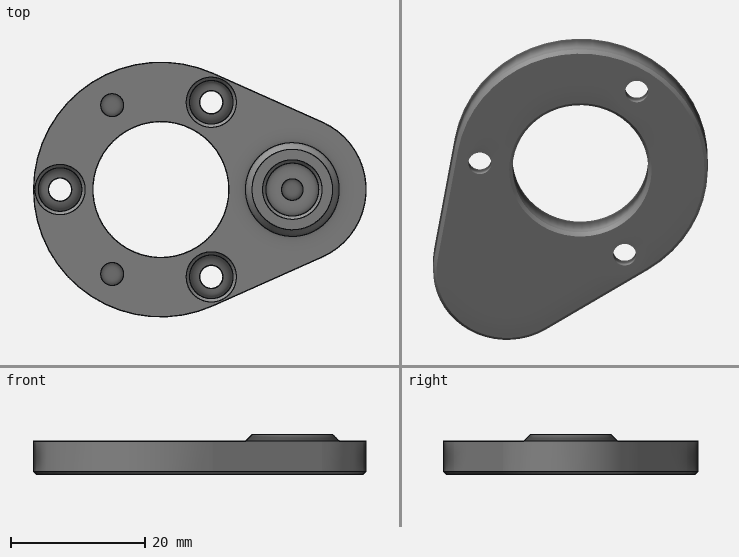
import cadquery as cq
import math

large_end_radius = 18.95
small_end_radius = 11.0
end_spacing = 49.55 - large_end_radius - small_end_radius
plate_thickness = 5.0
bottom_chamfer = 0.5
bore_diameter = 20.2

screw_circle_radius = 15.0
screw_angles = (60, 180, 300)
screw_hole_diameter = 3.4
counterbore_diameter = 6.5
counterbore_depth = 3.0
counterbore_chamfer = 0.5

dowel_circle_radius = 14.5
dowel_angles = (120, 240)
dowel_diameter = 3.4
dowel_depth = 1.0

boss_height = 1.0
boss_base_diameter = 13.95
boss_recess_diameter = 7.9
boss_recess_depth = 1.0
boss_recess_chamfer = 0.5
boss_hole_diameter = 3.2
boss_hole_depth = 2.0

boss_top = plate_thickness + boss_height


def polar_point(radius, angle):
    """Point at an angle in degrees around the bore axis."""
    a = math.radians(angle)
    return (radius * math.cos(a), radius * math.sin(a))


def make_plate():
    """Bored plate with its bottom edges chamfered, both outside and around the bore."""
    tangent_angle = math.degrees(math.acos((large_end_radius - small_end_radius) / end_spacing))
    large_x, large_y = polar_point(large_end_radius, tangent_angle)
    small_x, small_y = polar_point(small_end_radius, tangent_angle)
    small_x += end_spacing
    return (
        cq.Workplane("XY")
        .moveTo(large_x, large_y)
        .threePointArc((-large_end_radius, 0), (large_x, -large_y))
        .lineTo(small_x, -small_y)
        .threePointArc((end_spacing + small_end_radius, 0), (small_x, small_y))
        .close()
        .moveTo(0, 0)
        .circle(bore_diameter / 2)
        .extrude(plate_thickness)
        .faces("<Z")
        .chamfer(bottom_chamfer)
    )


def make_boss():
    """Boss whose side slopes inward at 45 degrees."""
    base_radius = boss_base_diameter / 2
    return cq.Workplane("XY").add(
        cq.Solid.makeCone(
            base_radius,
            base_radius - boss_height,
            boss_height,
            pnt=cq.Vector(end_spacing, 0, plate_thickness),
        )
    )


def hole_cutter(position, diameter, depth, top, chamfer=0):
    """Round cutter going down from top, with an optional 45 degree countersunk rim."""
    x, y = position
    radius = diameter / 2
    cutter = cq.Workplane("XY", origin=(x, y, top)).circle(radius).extrude(-depth)
    if chamfer:
        rim = cq.Solid.makeCone(
            radius + chamfer, radius, chamfer, pnt=cq.Vector(x, y, top), dir=cq.Vector(0, 0, -1)
        )
        cutter = cutter.union(cq.Workplane("XY").add(rim))
    return cutter


result = make_plate().union(make_boss())

for angle in screw_angles:
    position = polar_point(screw_circle_radius, angle)
    result = result.cut(hole_cutter(position, screw_hole_diameter, plate_thickness, plate_thickness))
    result = result.cut(
        hole_cutter(position, counterbore_diameter, counterbore_depth, plate_thickness, counterbore_chamfer)
    )

for angle in dowel_angles:
    position = polar_point(dowel_circle_radius, angle)
    result = result.cut(hole_cutter(position, dowel_diameter, dowel_depth, plate_thickness))

boss_center = (end_spacing, 0)
result = result.cut(
    hole_cutter(boss_center, boss_recess_diameter, boss_recess_depth, boss_top, boss_recess_chamfer)
)
result = result.cut(hole_cutter(boss_center, boss_hole_diameter, boss_hole_depth, boss_top))